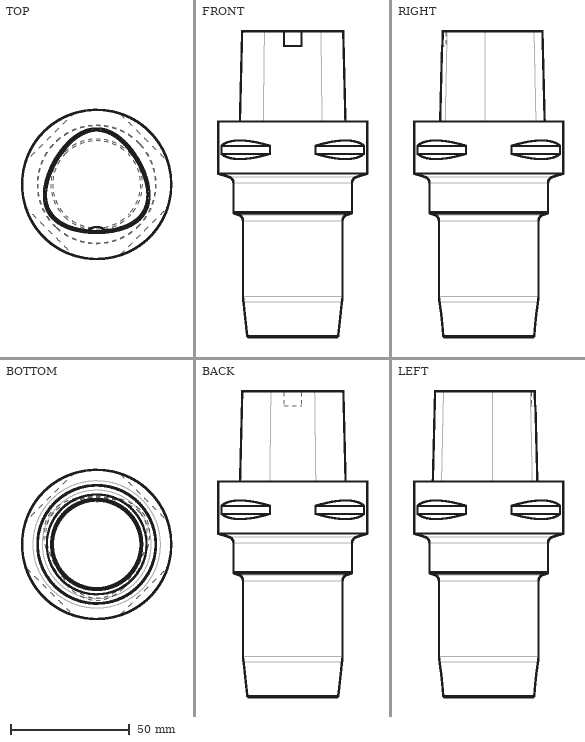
import cadquery as cq
import math

total_length = 129.0
shank_length = 37.9
nose_z = shank_length - total_length

shank_mean_radius = 22.0
lobe_swing = 1.5
shank_taper = 1 / 40
edge_count = 6
spline_steps = 8

flange_radius = 63.0 / 2
flange_height = 22.0
collar_radius = 50.0 / 2
collar_start_z = -25.9
collar_end_z = -38.2
collar_chamfer_width = 0.3
collar_chamfer_height = 0.6
sleeve_radius = 42.0 / 2
sleeve_start_z = -41.9
sleeve_end_z = -73.8
undercut_angle = math.radians(17)

nose_blend_z = -76.1
nose_blend_radius = 20.8
nose_tip_radius = 19.2
nose_chamfer = 0.8

slot_count = 4
slot_start_angle = 45
slot_z = -12.0
slot_floor_distance = 28.0
slot_floor_height = 3.4
slot_mouth_height = 7.9

notch_radius = 5.2
notch_depth = 6.2
notch_floor_y = -17.9


def lobed_section(mean_radius, z):
    """Closed three-lobed wire, one lobe along +Y, made of alternating lobe and flank edges."""
    def point(angle):
        x = mean_radius * math.sin(angle) - lobe_swing * math.sin(2 * angle)
        y = mean_radius * math.cos(angle) + lobe_swing * math.cos(2 * angle)
        return cq.Vector(x, y, z)

    def tangent(angle):
        x = mean_radius * math.cos(angle) - 2 * lobe_swing * math.cos(2 * angle)
        y = -mean_radius * math.sin(angle) - 2 * lobe_swing * math.sin(2 * angle)
        return cq.Vector(x, y, 0)

    span = 2 * math.pi / edge_count
    edges = []
    for i in range(edge_count):
        start = (i - 0.5) * span
        points = [point(start + span * j / spline_steps) for j in range(spline_steps + 1)]
        edges.append(cq.Edge.makeSpline(points, tangents=[tangent(start), tangent(start + span)]))
    return cq.Wire.assembleEdges(edges)


def make_shank():
    top_radius = shank_mean_radius - shank_taper * shank_length
    base = lobed_section(shank_mean_radius, 0)
    top = lobed_section(top_radius, shank_length)
    return cq.Workplane(obj=cq.Solid.makeLoft([base, top], True))


def relieve(profile, start_radius, start_z, end_radius, end_z):
    """Add a sloping underside and a concave round tangent to it and to the smaller cylinder."""
    corner_z = start_z - (start_radius - end_radius) * math.tan(undercut_angle)
    tangent_length = corner_z - end_z
    slope_radius = end_radius + tangent_length * math.cos(undercut_angle)
    slope_z = corner_z + tangent_length * math.sin(undercut_angle)
    profile = profile.lineTo(slope_radius, slope_z)
    return profile.tangentArcPoint((end_radius, end_z), relative=False)


def make_body():
    collar_edge = collar_radius - collar_chamfer_width
    collar_under_z = collar_end_z - collar_chamfer_height
    profile = (
        cq.Workplane("XZ")
        .lineTo(flange_radius, 0)
        .lineTo(flange_radius, -flange_height)
    )
    profile = relieve(profile, flange_radius, -flange_height, collar_radius, collar_start_z)
    profile = profile.lineTo(collar_radius, collar_end_z).lineTo(collar_edge, collar_under_z)
    profile = relieve(profile, collar_edge, collar_under_z, sleeve_radius, sleeve_start_z)
    profile = (
        profile.lineTo(sleeve_radius, sleeve_end_z)
        .tangentArcPoint((nose_blend_radius, nose_blend_z), relative=False)
        .lineTo(nose_tip_radius, nose_z + nose_chamfer)
        .lineTo(nose_tip_radius - nose_chamfer, nose_z)
        .lineTo(0, nose_z)
        .close()
    )
    return profile.revolve(360, (0, 0, 0), (0, 1, 0))


def make_gripper_slot(angle):
    """Straight slot with sloping side walls, cut towards a flat floor."""
    floor = slot_floor_height / 2
    mouth = slot_mouth_height / 2
    return (
        cq.Workplane("XZ")
        .polyline([
            (slot_floor_distance, slot_z - floor),
            (flange_radius, slot_z - mouth),
            (flange_radius, slot_z + mouth),
            (slot_floor_distance, slot_z + floor),
        ])
        .close()
        .extrude(flange_radius, both=True)
        .rotate((0, 0, 0), (0, 0, 1), angle)
    )


def make_notch():
    return (
        cq.Workplane("XY", origin=(0, notch_floor_y - notch_radius, shank_length))
        .circle(notch_radius)
        .extrude(-notch_depth)
    )


result = make_body().union(make_shank()).cut(make_notch())
for i in range(slot_count):
    result = result.cut(make_gripper_slot(slot_start_angle + i * 360 / slot_count))